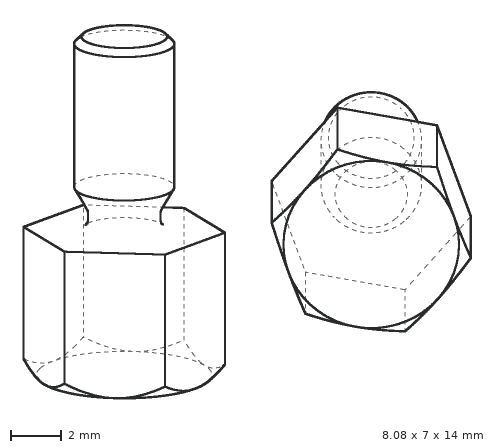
import cadquery as cq
import math

total_height = 14.0
body_height = 6.0
across_flats = 7.0
across_corners = across_flats / math.cos(math.radians(30))
base_diameter = across_flats
base_chamfer_angle = math.radians(45)

stud_radius = 4.0 / 2
tip_chamfer = 0.3
neck_radius = 2.9 / 2
undercut_fillet = 0.4
runout_start = 7.77
runout_angle = math.radians(30)


def hex_body():
    """Hexagonal prism whose lower corners are turned off by a cone."""
    prism = cq.Workplane("XY").polygon(6, across_corners).extrude(body_height)
    base_radius = base_diameter / 2
    cone_top_radius = base_radius + body_height / math.tan(base_chamfer_angle)
    envelope = (
        cq.Workplane("XZ")
        .lineTo(base_radius, 0)
        .lineTo(cone_top_radius, body_height)
        .lineTo(0, body_height)
        .close()
        .revolve(360, (0, 0, 0), (0, 1, 0))
    )
    return prism.intersect(envelope)


def stud():
    """Revolved stud: root fillet, neck, conical runout, shank and tip chamfer."""
    fillet_center_x = neck_radius + undercut_fillet
    root_center_z = body_height + undercut_fillet

    def upper_arc_point(angle):
        across = fillet_center_x - undercut_fillet * math.cos(angle)
        return across, undercut_fillet * math.sin(angle)

    arc_end_x, arc_rise = upper_arc_point(runout_angle)
    arc_middle_x, arc_middle_rise = upper_arc_point(runout_angle / 2)
    arc_end_z = runout_start - (stud_radius - arc_end_x) / math.tan(runout_angle)
    neck_top_z = arc_end_z - arc_rise

    root_middle = (
        fillet_center_x - undercut_fillet * math.cos(math.radians(45)),
        root_center_z - undercut_fillet * math.sin(math.radians(45)),
    )
    return (
        cq.Workplane("XZ")
        .moveTo(0, body_height)
        .lineTo(fillet_center_x, body_height)
        .threePointArc(root_middle, (neck_radius, root_center_z))
        .lineTo(neck_radius, neck_top_z)
        .threePointArc((arc_middle_x, neck_top_z + arc_middle_rise), (arc_end_x, arc_end_z))
        .lineTo(stud_radius, runout_start)
        .lineTo(stud_radius, total_height - tip_chamfer)
        .lineTo(stud_radius - tip_chamfer, total_height)
        .lineTo(0, total_height)
        .close()
        .revolve(360, (0, 0, 0), (0, 1, 0))
    )


result = hex_body().union(stud())